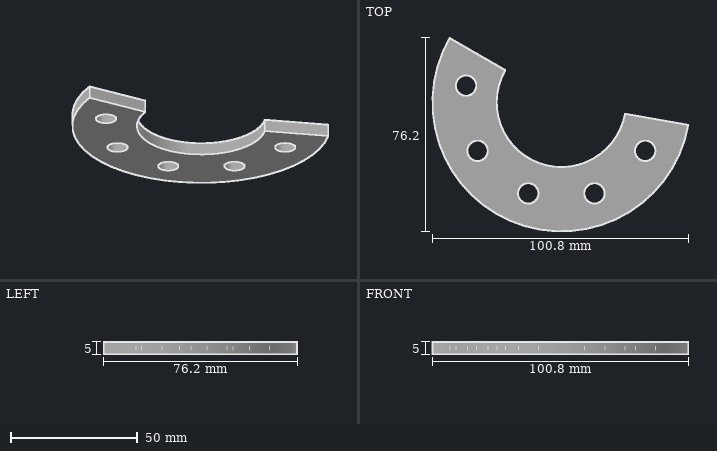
import cadquery as cq
import math

outer_radius = 50.8
inner_radius = outer_radius / 2
thickness = 5.0
start_angle = 150.0
sweep_angle = 200.0

hole_diameter = 7.94
hole_count = 5
hole_circle_radius = (outer_radius + inner_radius) / 2
hole_pitch_angle = sweep_angle / hole_count

end_angle = start_angle + sweep_angle
middle_angle = start_angle + sweep_angle / 2


def polar_point(radius, angle):
    """Point at the given radius and angle (degrees) about the ring centre."""
    radians = math.radians(angle)
    return (radius * math.cos(radians), radius * math.sin(radians))


def ring_segment():
    """Flat ring segment with radial ends."""
    return (
        cq.Workplane("XY")
        .moveTo(*polar_point(outer_radius, start_angle))
        .threePointArc(
            polar_point(outer_radius, middle_angle),
            polar_point(outer_radius, end_angle),
        )
        .lineTo(*polar_point(inner_radius, end_angle))
        .threePointArc(
            polar_point(inner_radius, middle_angle),
            polar_point(inner_radius, start_angle),
        )
        .close()
        .extrude(thickness)
    )


def bolt_holes():
    """Through holes evenly spaced on the mid-radius, half a pitch in from each end."""
    first_angle = start_angle + hole_pitch_angle / 2
    centres = [
        polar_point(hole_circle_radius, first_angle + index * hole_pitch_angle)
        for index in range(hole_count)
    ]
    return (
        cq.Workplane("XY")
        .pushPoints(centres)
        .circle(hole_diameter / 2)
        .extrude(thickness)
    )


result = ring_segment().cut(bolt_holes())